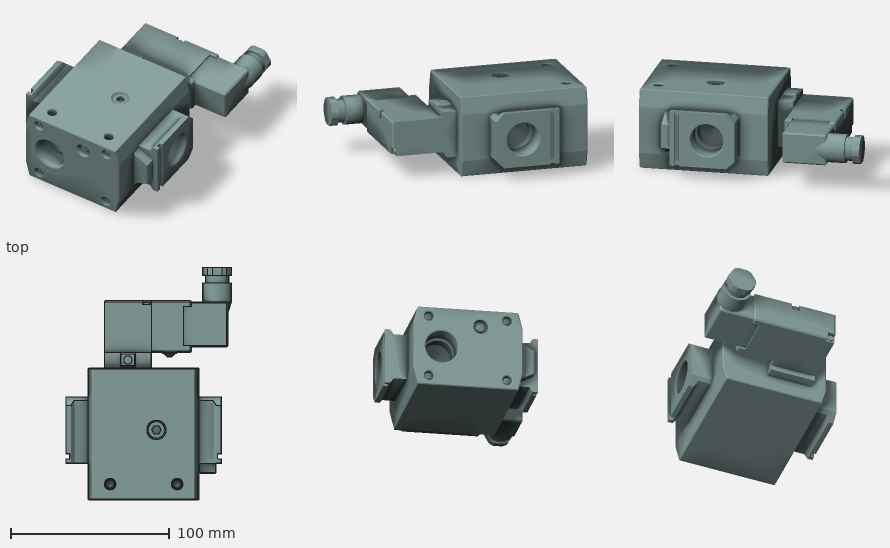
import cadquery as cq
import math

OVERLAP = 1.5

HOUSING_LENGTH = 83.2
HOUSING_HALF_WIDTH = 69.9 / 2
HOUSING_HALF_HEIGHT = 52.0 / 2
DECK_HALF_WIDTH = 32.2
SIDE_HALF_HEIGHT = 15.2
DECK_EDGE_RADIUS = 0.6
SIDE_EDGE_RADIUS = 1.8
HOUSING_CHAMFER = 0.6

FLANGE_FACE_X = 98.0 / 2
FLANGE_FRONT_Y = 23.0
FLANGE_LENGTH = 41.9
FLANGE_HALF_HEIGHT = 35.9 / 2
NECK_HALF_HEIGHT = 14.8
PLATE_THICKNESS = 3.4
PLATE_SLOPE = 2.0
FLANGE_EDGE_RADIUS = 0.51
FLANGE_CORNER = 5.3
GROOVE_FRONT_Y = 25.8
GROOVE_WIDTH = 3.2
GROOVE_DEPTH = 2.3

PORT_MOUTH_RADIUS = 11.1
PORT_RADIUS = 21.0 / 2
PORT_DEPTH = 13.5
PORT_DRILL_RADIUS = 9.1
PORT_DRILL_DEPTH = 22.0
SIDE_PORT_Y = 46.9
FRONT_PORT_X = -16.8
DRILL_POINT_ANGLE = 118

MOUNT_X = 21.1
MOUNT_Y = 10.0
MOUNT_MOUTH_RADIUS = 7.2 / 2
MOUNT_RADIUS = 6.0 / 2
MOUNT_DEPTH = 11.7
MOUNT_DRILL_RADIUS = 2.5
MOUNT_DRILL_DEPTH = 14.6

SCREW_X = 25.0
SCREW_Z = 19.9
SCREW_MOUTH_RADIUS = 3.5
SCREW_RECESS_RADIUS = 6.0 / 2
SCREW_RECESS_DEPTH = 3.7
SCREW_HEAD_RADIUS = 2.2
SCREW_HEAD_HEIGHT = 1.8
SCREW_HEAD_ROUND = 0.9
CROSS_LENGTH = 2.6
CROSS_WIDTH = 0.7
CROSS_DEPTH = 0.9

NEEDLE_X = 8.0
NEEDLE_Z = 15.0
NEEDLE_MOUTH_RADIUS = 5.0
NEEDLE_RECESS_RADIUS = 4.7
NEEDLE_RECESS_DEPTH = 4.4
NEEDLE_RADIUS = 5.1 / 2
NEEDLE_HEIGHT = 2.2
NEEDLE_CHAMFER = 0.5
NEEDLE_SLOT_LENGTH = 3.0
NEEDLE_SLOT_WIDTH = 0.7
NEEDLE_SLOT_DEPTH = 0.9
NEEDLE_SLOT_ANGLE = 60

PLUG_X = 8.0
PLUG_Y = 44.1
PLUG_MOUTH_RADIUS = 12.2 / 2
PLUG_RADIUS = 5.3
PLUG_RECESS_DEPTH = 1.2
PLUG_HEX_DIAMETER = 6.0
PLUG_HEX_DEPTH = 3.0

WEDGE_GAP = 0.1
WEDGE_END_X = 45.5
WEDGE_FRONT_Y = 16.7
WEDGE_ROOT_HALF_HEIGHT = 13.2
WEDGE_TIP_HALF_HEIGHT = 7.8
WEDGE_CHAMFER = 0.6

VALVE_LEFT_X = -24.8
VALVE_RIGHT_X = 4.8
VALVE_FRONT_Y = 92.9
VALVE_BACK_Y = 125.7
VALVE_HALF_HEIGHT = 11.3
BASE_HALF_HEIGHT = 15.0
BASE_LOWER_LENGTH = 6.5
BLOCK_CHAMFER = 0.9

NOTCH_SIZE = 5.4
NOTCH_DEPTH = 2.6
BACK_SCREW_RADIUS = 1.9
BACK_SCREW_HEIGHT = 1.2

PAD_WIDTH = 9.4
PAD_FRONT_GAP = 0.5
PAD_LENGTH = 9.1
PAD_HEIGHT = 2.2
PAD_SIDE_CHAMFER = 0.5
PAD_END_CHAMFER = 0.9
BUTTON_RADIUS = 5.1 / 2
BUTTON_HEIGHT = 0.3

COIL_END_X = 30.2

NUT_X = 16.3
NUT_RADIUS = 4.5
NUT_THICKNESS = 0.6
NUT_DOME_RADIUS = 3.7
NUT_TIP_RADIUS = 1.2
NUT_HEIGHT = 2.8
FLUTE_COUNT = 16
FLUTE_RADIUS = 0.5

CONNECTOR_TAB_X = 25.2
CONNECTOR_END_X = 53.0
CONNECTOR_FRONT_Y = 96.4
CONNECTOR_BACK_Y = 124.8
CONNECTOR_HALF_HEIGHT = 20.0 / 2
TAB_FRONT_Y = 97.3
TAB_BACK_Y = 121.7

GLAND_X = 46.3
GLAND_RADIUS = 18.3 / 2
GLAND_CONE_START_Y = 117.0
GLAND_CONE_RADIUS = 6.6
GLAND_CONE_END_Y = 125.5
GLAND_BODY_END_Y = 136.7
GLAND_NECK_RADIUS = 7.5
GLAND_NUT_START_Y = 141.5
GLAND_END_Y = 146.5
GLAND_NUT_FLATS = 17.3


def block(x_min, x_max, y_min, y_max, z_min, z_max):
    """Box given by its limits along the three axes."""
    box = cq.Workplane("XY").box(x_max - x_min, y_max - y_min, z_max - z_min, centered=False)
    return box.translate((x_min, y_min, z_min))


def turned_along_y(profile, x, z):
    """Revolve a (radius, y) outline about the line through x and z that runs along Y."""
    solid = cq.Workplane("XY").polyline(profile).close().revolve(360, (0, 0), (0, 1))
    return solid.translate((x, 0, z))


def stepped_hole(mouth_radius, radius, depth, drill_radius, drill_depth):
    """Cutter along +Y from the origin: chamfered mouth, thread bore, tap drill with a conical tip."""
    mouth_depth = mouth_radius - radius
    tip_length = drill_radius / math.tan(math.radians(DRILL_POINT_ANGLE / 2))
    profile = [
        (0, 0),
        (mouth_radius, 0),
        (radius, mouth_depth),
        (radius, depth),
        (drill_radius, depth),
        (drill_radius, drill_depth),
        (0, drill_depth + tip_length),
    ]
    return turned_along_y(profile, 0, 0)


def recess(mouth_radius, radius, depth):
    """Cutter along +Y from the origin: chamfered mouth and a flat floor."""
    profile = [(0, 0), (mouth_radius, 0), (radius, mouth_radius - radius), (radius, depth), (0, depth)]
    return turned_along_y(profile, 0, 0)


def housing_block():
    """Octagonal bar along Y with softened long edges and chamfered ends."""
    outline = [
        (DECK_HALF_WIDTH, HOUSING_HALF_HEIGHT),
        (HOUSING_HALF_WIDTH, SIDE_HALF_HEIGHT),
        (HOUSING_HALF_WIDTH, -SIDE_HALF_HEIGHT),
        (DECK_HALF_WIDTH, -HOUSING_HALF_HEIGHT),
        (-DECK_HALF_WIDTH, -HOUSING_HALF_HEIGHT),
        (-HOUSING_HALF_WIDTH, -SIDE_HALF_HEIGHT),
        (-HOUSING_HALF_WIDTH, SIDE_HALF_HEIGHT),
        (-DECK_HALF_WIDTH, HOUSING_HALF_HEIGHT),
    ]
    solid = cq.Workplane("XZ").polyline(outline).close().extrude(-HOUSING_LENGTH)
    side_edges = solid.edges("|Y").edges("<X or >X")
    solid = side_edges.fillet(SIDE_EDGE_RADIUS)
    solid = solid.edges("|Y").edges("<Z or >Z").fillet(DECK_EDGE_RADIUS)
    return solid.faces("<Y or >Y").edges().chamfer(HOUSING_CHAMFER)


def left_flange():
    """Plate and neck in one outline, with the back corners cut and a groove near the front."""
    plate_x = -FLANGE_FACE_X + PLATE_THICKNESS
    neck_x = plate_x + PLATE_SLOPE
    root_x = -HOUSING_HALF_WIDTH + OVERLAP
    outline = [
        (-FLANGE_FACE_X, -FLANGE_HALF_HEIGHT),
        (plate_x, -FLANGE_HALF_HEIGHT),
        (neck_x, -NECK_HALF_HEIGHT),
        (root_x, -NECK_HALF_HEIGHT),
        (root_x, NECK_HALF_HEIGHT),
        (neck_x, NECK_HALF_HEIGHT),
        (plate_x, FLANGE_HALF_HEIGHT),
        (-FLANGE_FACE_X, FLANGE_HALF_HEIGHT),
    ]
    solid = cq.Workplane("XZ").polyline(outline).close().extrude(-FLANGE_LENGTH)
    slope_edges = cq.selectors.BoxSelector(
        (plate_x - OVERLAP / 2, -OVERLAP, -HOUSING_HALF_HEIGHT),
        (neck_x + OVERLAP / 2, FLANGE_LENGTH + OVERLAP, HOUSING_HALF_HEIGHT),
    )
    solid = solid.edges("|Y").edges(slope_edges).fillet(FLANGE_EDGE_RADIUS)
    solid = solid.translate((0, FLANGE_FRONT_Y, 0))

    back_y = FLANGE_FRONT_Y + FLANGE_LENGTH
    corner_y = back_y - FLANGE_CORNER
    corner_z = FLANGE_HALF_HEIGHT - FLANGE_CORNER
    side_outline = [
        (FLANGE_FRONT_Y, -FLANGE_HALF_HEIGHT),
        (corner_y, -FLANGE_HALF_HEIGHT),
        (back_y, -corner_z),
        (back_y, corner_z),
        (corner_y, FLANGE_HALF_HEIGHT),
        (FLANGE_FRONT_Y, FLANGE_HALF_HEIGHT),
    ]
    envelope = cq.Workplane("YZ").polyline(side_outline).close().extrude(-FLANGE_FACE_X)
    groove = block(
        -FLANGE_FACE_X, -FLANGE_FACE_X + GROOVE_DEPTH,
        GROOVE_FRONT_Y, GROOVE_FRONT_Y + GROOVE_WIDTH,
        -FLANGE_HALF_HEIGHT, FLANGE_HALF_HEIGHT,
    )
    return solid.intersect(envelope).cut(groove)


def wedge():
    """Tapered block on the front of the right flange, chamfered around its front face."""
    root_x = HOUSING_HALF_WIDTH + WEDGE_GAP
    outline = [
        (root_x, -WEDGE_ROOT_HALF_HEIGHT),
        (WEDGE_END_X, -WEDGE_TIP_HALF_HEIGHT),
        (WEDGE_END_X, WEDGE_TIP_HALF_HEIGHT),
        (root_x, WEDGE_ROOT_HALF_HEIGHT),
    ]
    length = FLANGE_FRONT_Y - WEDGE_FRONT_Y
    solid = cq.Workplane("XZ").polyline(outline).close().extrude(-length)
    solid = solid.faces("<Y").edges().chamfer(WEDGE_CHAMFER)
    return solid.translate((0, WEDGE_FRONT_Y, 0))


def cover_screw():
    """Domed screw head with a cross recess, standing on the floor of its recess."""
    floor_y = SCREW_RECESS_DEPTH
    head_y = floor_y - SCREW_HEAD_HEIGHT
    profile = [
        (0, head_y),
        (SCREW_HEAD_RADIUS - SCREW_HEAD_ROUND, head_y),
        (SCREW_HEAD_RADIUS, head_y + SCREW_HEAD_ROUND),
        (SCREW_HEAD_RADIUS, floor_y + OVERLAP),
        (0, floor_y + OVERLAP),
    ]
    cross = cq.Workplane("XZ").rect(CROSS_LENGTH, CROSS_WIDTH).extrude(-CROSS_DEPTH)
    cross = cross.union(cross.rotate((0, 0, 0), (0, 1, 0), 90))
    return turned_along_y(profile, 0, 0).cut(cross.translate((0, head_y, 0)))


def throttle_needle():
    """Slotted needle end, standing on the floor of its recess."""
    head_y = NEEDLE_RECESS_DEPTH - NEEDLE_HEIGHT
    needle = cq.Workplane("XZ").circle(NEEDLE_RADIUS).extrude(-NEEDLE_HEIGHT - OVERLAP)
    needle = needle.faces("<Y").chamfer(NEEDLE_CHAMFER)
    slot = cq.Workplane("XZ").rect(NEEDLE_SLOT_LENGTH, NEEDLE_SLOT_WIDTH).extrude(-NEEDLE_SLOT_DEPTH)
    slot = slot.rotate((0, 0, 0), (0, 1, 0), -NEEDLE_SLOT_ANGLE)
    return needle.cut(slot).translate((NEEDLE_X, head_y, NEEDLE_Z))


def facing_down(cutter, x, y):
    """Turn a cutter made along +Y so that it enters the deck from above at x, y."""
    return cutter.rotate((0, 0, 0), (1, 0, 0), -90).translate((x, y, HOUSING_HALF_HEIGHT))


def valve_block():
    """Base against the housing and the valve block behind it."""
    solid = block(
        VALVE_LEFT_X, VALVE_RIGHT_X, HOUSING_LENGTH, VALVE_BACK_Y, -VALVE_HALF_HEIGHT, VALVE_HALF_HEIGHT
    )
    solid = solid.faces(">Y").edges("<X or <Z or >Z").chamfer(BLOCK_CHAMFER)
    upper_base = block(VALVE_LEFT_X, VALVE_RIGHT_X, HOUSING_LENGTH, VALVE_FRONT_Y, 0, BASE_HALF_HEIGHT)
    lower_base = block(
        VALVE_LEFT_X, VALVE_RIGHT_X, HOUSING_LENGTH, HOUSING_LENGTH + BASE_LOWER_LENGTH, -BASE_HALF_HEIGHT, 0
    )
    return solid.union(upper_base).union(lower_base)


def manual_override():
    """Raised pad with a round button, centred across the base."""
    middle_x = (VALVE_LEFT_X + VALVE_RIGHT_X) / 2
    front_y = HOUSING_LENGTH + PAD_FRONT_GAP
    pad_top = BASE_HALF_HEIGHT + PAD_HEIGHT
    pad = block(
        middle_x - PAD_WIDTH / 2, middle_x + PAD_WIDTH / 2,
        front_y, front_y + PAD_LENGTH,
        BASE_HALF_HEIGHT - OVERLAP, pad_top,
    )
    pad = pad.faces(">Z").edges("|X").chamfer(PAD_END_CHAMFER)
    pad = pad.faces(">Z").edges("|Y").chamfer(PAD_SIDE_CHAMFER)
    button = cq.Workplane("XY").circle(BUTTON_RADIUS).extrude(BUTTON_HEIGHT)
    return pad.union(button.translate((middle_x, front_y + PAD_LENGTH / 2, pad_top)))


def back_screws(solid):
    """Sink screw heads into two opposite corners of the valve block's back face."""
    inset = NOTCH_SIZE / 2
    floor_y = VALVE_BACK_Y - NOTCH_DEPTH
    screw_places = [
        (VALVE_RIGHT_X - inset, VALVE_HALF_HEIGHT - inset),
        (VALVE_LEFT_X + inset, inset - VALVE_HALF_HEIGHT),
    ]
    notch = cq.Workplane("XZ").rect(NOTCH_SIZE, NOTCH_SIZE).extrude(-NOTCH_DEPTH)
    head = cq.Workplane("XZ").circle(BACK_SCREW_RADIUS).extrude(-BACK_SCREW_HEIGHT)
    for x, z in screw_places:
        solid = solid.cut(notch.translate((x, floor_y, z))).union(head.translate((x, floor_y, z)))
    return solid


def build_housing():
    flange = left_flange()
    solid = housing_block().union(flange).union(flange.mirror("YZ")).union(wedge())

    port = stepped_hole(PORT_MOUTH_RADIUS, PORT_RADIUS, PORT_DEPTH, PORT_DRILL_RADIUS, PORT_DRILL_DEPTH)
    solid = solid.cut(port.translate((FRONT_PORT_X, 0, 0)))
    left_port = port.rotate((0, 0, 0), (0, 0, 1), -90).translate((-FLANGE_FACE_X, SIDE_PORT_Y, 0))
    solid = solid.cut(left_port).cut(left_port.mirror("YZ"))

    mount = stepped_hole(MOUNT_MOUTH_RADIUS, MOUNT_RADIUS, MOUNT_DEPTH, MOUNT_DRILL_RADIUS, MOUNT_DRILL_DEPTH)
    for x in (-MOUNT_X, MOUNT_X):
        solid = solid.cut(facing_down(mount, x, MOUNT_Y))

    socket = cq.Workplane("XZ").polygon(6, PLUG_HEX_DIAMETER).extrude(-PLUG_HEX_DEPTH - PLUG_RECESS_DEPTH)
    plug = recess(PLUG_MOUTH_RADIUS, PLUG_RADIUS, PLUG_RECESS_DEPTH).union(socket)
    solid = solid.cut(facing_down(plug, PLUG_X, PLUG_Y))

    screw = cover_screw()
    screw_recess = recess(SCREW_MOUTH_RADIUS, SCREW_RECESS_RADIUS, SCREW_RECESS_DEPTH)
    for x in (-SCREW_X, SCREW_X):
        for z in (-SCREW_Z, SCREW_Z):
            solid = solid.cut(screw_recess.translate((x, 0, z))).union(screw.translate((x, 0, z)))

    needle_recess = recess(NEEDLE_MOUTH_RADIUS, NEEDLE_RECESS_RADIUS, NEEDLE_RECESS_DEPTH)
    return solid.cut(needle_recess.translate((NEEDLE_X, 0, NEEDLE_Z))).union(throttle_needle())


def coil():
    """Coil housing, with shallow seats for the connector's tabs in its top and bottom."""
    solid = block(
        VALVE_RIGHT_X, COIL_END_X, VALVE_FRONT_Y, VALVE_BACK_Y, -VALVE_HALF_HEIGHT, VALVE_HALF_HEIGHT
    )
    solid = solid.edges("(>Y or <Y or >X) and (not <X)").chamfer(BLOCK_CHAMFER)
    for side in (1, -1):
        z_limits = sorted((side * CONNECTOR_HALF_HEIGHT, side * VALVE_HALF_HEIGHT))
        solid = solid.cut(block(CONNECTOR_TAB_X, COIL_END_X, TAB_FRONT_Y, TAB_BACK_Y, *z_limits))
    return solid


def coil_nut():
    """Fluted disc with a domed end, under the coil."""
    disc_y = VALVE_FRONT_Y - NUT_THICKNESS
    tip_y = VALVE_FRONT_Y - NUT_HEIGHT
    disc = cq.Workplane("XZ").circle(NUT_RADIUS).extrude(-NUT_THICKNESS - OVERLAP)
    flutes = cq.Workplane("XZ").polarArray(NUT_RADIUS, 0, 360, FLUTE_COUNT)
    disc = disc.cut(flutes.circle(FLUTE_RADIUS).extrude(-NUT_THICKNESS)).translate((NUT_X, disc_y, 0))
    dome = turned_along_y(
        [(0, disc_y), (NUT_DOME_RADIUS, disc_y), (NUT_TIP_RADIUS, tip_y), (0, tip_y)], NUT_X, 0
    )
    return disc.union(dome)


def connector():
    """Plug connector box, reaching a little way into the coil."""
    solid = block(
        CONNECTOR_TAB_X, CONNECTOR_END_X,
        CONNECTOR_FRONT_Y, CONNECTOR_BACK_Y,
        -CONNECTOR_HALF_HEIGHT, CONNECTOR_HALF_HEIGHT,
    )
    return solid.edges("(>Y or <Y or >X) and (not <X)").chamfer(BLOCK_CHAMFER)


def cable_gland():
    """Tapered root, round body and neck, closed by a hexagon nut with turned corners."""
    profile = [
        (0, GLAND_CONE_START_Y),
        (GLAND_CONE_RADIUS, GLAND_CONE_START_Y),
        (GLAND_RADIUS, GLAND_CONE_END_Y),
        (GLAND_RADIUS, GLAND_BODY_END_Y),
        (GLAND_NECK_RADIUS, GLAND_BODY_END_Y),
        (GLAND_NECK_RADIUS, GLAND_NUT_START_Y),
        (0, GLAND_NUT_START_Y),
    ]
    nut_length = GLAND_END_Y - GLAND_NUT_START_Y
    hexagon = cq.Workplane("XZ").polygon(6, GLAND_NUT_FLATS / math.cos(math.pi / 6)).extrude(-nut_length)
    corner_turning = cq.Workplane("XZ").circle(GLAND_RADIUS).extrude(-nut_length)
    nut = hexagon.intersect(corner_turning).translate((GLAND_X, GLAND_NUT_START_Y, 0))
    return turned_along_y(profile, GLAND_X, 0).union(nut)


def build_valve():
    """Housing with the pilot valve's base and block, all one body."""
    pilot = back_screws(valve_block().union(manual_override()))
    return build_housing().union(pilot)


def build_solenoid():
    return coil().union(coil_nut()).union(connector()).union(cable_gland())


valve = build_valve()
solenoid = build_solenoid()

result = cq.Compound.makeCompound([valve.val(), solenoid.val()])